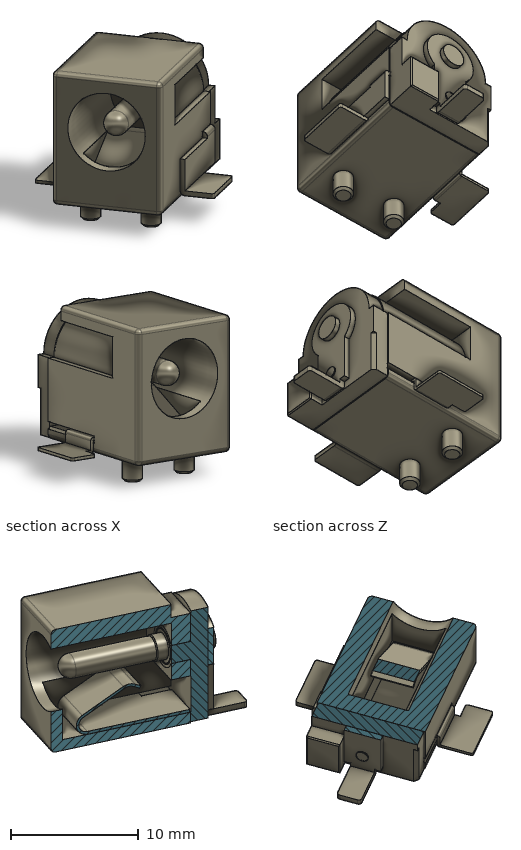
import cadquery as cq
import math


HOUSING_WIDTH = 9.03
HOUSING_TOP = 4.5
HOUSING_BOTTOM = -6.5
HOUSING_LENGTH = 11.97
HOUSING_ROUND = 0.4
ROOF_LENGTH = 10.3
BORE_DIAMETER = 6.4
ARCH_RADIUS = 3.97
ARCH_TOP = 3.33
SIDE_RECESS_START = 3.4
PEG_DIAMETER = 1.6
PEG_LENGTH = 2.0
PEG_CHAMFER = 0.2
PEG_SPACING = 5.0
PEG_Y = 3.5

CHAMBER_START = 1.0
CHAMBER_WIDTH = 4.48
CHAMBER_TOP = -2.29
CHAMBER_FLOOR = -5.49
SLOT_START = 5.85
SLOT_HEIGHT = 0.4
SLOT_BEVEL = 0.2

CAP_INSET = 0.1
CAP_LENGTH = 1.49
CAP_RADIUS = 3.88
CAP_BOSS_DIAMETER = 3.5
CAP_CORNER_CHAMFER = 0.32
CAP_CORNER_TOP = -2.65
BLOCK_INNER_X = 1.65
BLOCK_TOP = -3.1
BLOCK_DEPTH = 1.23
BLOCK_CHAMFER = 0.1

PIN_TIP_Y = 1.4
PIN_DIAMETER = 2.0
PIN_SHANK_DIAMETER = 2.17
PIN_SHANK_CHAMFER = (PIN_SHANK_DIAMETER - PIN_DIAMETER) / 2
PIN_SHANK_LENGTH = 1.0
COLLAR_DIAMETER = 3.0
COLLAR_CHAMFER = 0.1
RIVET_LENGTH = 0.43

WASHER_RADIUS = 2.27
REAR_SHEET = 0.5
TONGUE_WIDTH = 3.1
TONGUE_BOTTOM = -5.68
TAIL_WIDTH = 2.0
TAIL_END = 17.1
TAIL_BEND_RADIUS = 0.4
TAIL_CORNER_RADIUS = 0.25
DIMPLE_DIAMETER = 1.0
DIMPLE_HEIGHT = 0.1
DIMPLE_Z = -4.43

FOOT_START = 4.62
FOOT_END = 9.3
FOOT_CORNER_RADIUS = 0.2

SPRING_SHEET = 0.25
SPRING_BEND_RADIUS = 0.24
SPRING_FOOT_X = -7.5
SPRING_LUG_START = 5.93
SPRING_NOTCH_X = -5.23
LEAF_BASE_END = 11.9
LEAF_LEFT = -1.93
LEAF_WIDTH = 3.5
LEAF_BEND_Y = 3.1
LEAF_BEND_RADIUS = 0.94
LEAF_SLOPE = 27.0
LEAF_PEAK = -1.8
LEAF_PEAK_RADIUS = 1.1
LEAF_TIP_LENGTH = 0.6

SIDE_SHEET = 0.41
SIDE_FOOT_X = 7.28
SIDE_FOOT_BOTTOM = -6.2
SIDE_BEND_RADIUS = 0.4
SIDE_PLATE_TOP = -3.2
SIDE_ARM_TOP = -2.68
SIDE_ARM_START = 10.05
SIDE_ARM_END = 11.95
SIDE_ARM_INNER_X = 2.5

HALF_WIDTH = HOUSING_WIDTH / 2
CAP_HALF_WIDTH = HALF_WIDTH - CAP_INSET
CAP_BOTTOM = HOUSING_BOTTOM + CAP_INSET
CAP_REAR = HOUSING_LENGTH + CAP_LENGTH
WASHER_REAR = CAP_REAR + REAR_SHEET
BASE_TOP = CHAMBER_FLOOR + SPRING_SHEET


def block(x_range, y_range, z_range):
    """Box given by its lower and upper limits along each axis."""
    (x0, x1), (y0, y1), (z0, z1) = x_range, y_range, z_range
    return cq.Workplane("XY").box(x1 - x0, y1 - y0, z1 - z0, centered=False).translate((x0, y0, z0))


def cylinder_y(diameter, y_start, y_end, z=0):
    """Cylinder along Y, centred on X = 0 at height z."""
    profile = cq.Workplane("XZ", origin=(0, y_start, z)).circle(diameter / 2)
    return profile.extrude(y_start - y_end)


def sheet_along_y(profile, y_start, y_end):
    """Extrude a closed XZ profile from y_start to y_end."""
    return profile.extrude(y_start - y_end).translate((0, y_start, 0))


def arched_body(half_width, radius, bottom, y_start, y_end):
    """Square-sided lower half topped by a narrower half-round arch."""
    lower = block((-half_width, half_width), (y_start, y_end), (bottom, 0))
    return lower.union(cylinder_y(2 * radius, y_start, y_end))


def side_arm_passage():
    """Opening for the arm of the side terminal, open at the rear of the housing."""
    return block(
        (SIDE_ARM_INNER_X, HALF_WIDTH),
        (SIDE_ARM_START, HOUSING_LENGTH),
        (SIDE_ARM_TOP - SIDE_SHEET, SIDE_ARM_TOP),
    )


def spring_slot():
    """Slot through the -X wall whose lower lip is bevelled."""
    profile = (
        cq.Workplane("XZ")
        .moveTo(0, CHAMBER_FLOOR)
        .lineTo(-HALF_WIDTH + SLOT_BEVEL, CHAMBER_FLOOR)
        .lineTo(-HALF_WIDTH, CHAMBER_FLOOR - SLOT_BEVEL)
        .lineTo(-HALF_WIDTH, CHAMBER_FLOOR + SLOT_HEIGHT)
        .lineTo(0, CHAMBER_FLOOR + SLOT_HEIGHT)
        .close()
    )
    return sheet_along_y(profile, SLOT_START, HOUSING_LENGTH)


def peg(x):
    """Locating peg with a chamfered tip, sunk slightly into the housing floor."""
    length = PEG_LENGTH + HOUSING_ROUND
    shaft = cq.Workplane("XY", origin=(x, PEG_Y, HOUSING_BOTTOM - PEG_LENGTH))
    return shaft.circle(PEG_DIAMETER / 2).extrude(length).faces("<Z").chamfer(PEG_CHAMFER)


def make_housing():
    full_x = (-HALF_WIDTH, HALF_WIDTH)
    body = block(full_x, (0, HOUSING_LENGTH), (HOUSING_BOTTOM, HOUSING_TOP))
    body = body.edges("|Y or <Y").fillet(HOUSING_ROUND)

    arch = cylinder_y(2 * ARCH_RADIUS, 0, HOUSING_LENGTH)
    beside_arch = block(full_x, (SIDE_RECESS_START, HOUSING_LENGTH), (0, ARCH_TOP)).cut(arch)
    behind_roof = block(full_x, (ROOF_LENGTH, HOUSING_LENGTH), (ARCH_TOP, HOUSING_TOP))
    body = body.cut(beside_arch).cut(behind_roof)

    body = body.cut(cylinder_y(BORE_DIAMETER, 0, ROOF_LENGTH))
    body = body.cut(cylinder_y(CAP_BOSS_DIAMETER, ROOF_LENGTH, HOUSING_LENGTH))
    chamber = block(
        (-CHAMBER_WIDTH / 2, CHAMBER_WIDTH / 2),
        (CHAMBER_START, HOUSING_LENGTH),
        (CHAMBER_FLOOR, CHAMBER_TOP),
    )
    body = body.cut(chamber).cut(spring_slot()).cut(side_arm_passage())
    for x in (-PEG_SPACING / 2, PEG_SPACING / 2):
        body = body.union(peg(x))
    return body


def make_cap():
    cap = arched_body(CAP_HALF_WIDTH, CAP_RADIUS, CAP_BOTTOM, HOUSING_LENGTH, CAP_REAR)
    corner = (
        cq.Workplane("XY", origin=(0, 0, CAP_BOTTOM))
        .moveTo(-CAP_HALF_WIDTH, CAP_REAR)
        .lineTo(-CAP_HALF_WIDTH, CAP_REAR - CAP_CORNER_CHAMFER)
        .lineTo(-CAP_HALF_WIDTH + CAP_CORNER_CHAMFER, CAP_REAR)
        .close()
        .extrude(CAP_CORNER_TOP - CAP_BOTTOM)
    )
    cap = cap.cut(corner)
    rear_block = block(
        (BLOCK_INNER_X, CAP_HALF_WIDTH), (CAP_REAR, CAP_REAR + BLOCK_DEPTH), (CAP_BOTTOM, BLOCK_TOP)
    )
    cap = cap.union(rear_block.faces(">Y").chamfer(BLOCK_CHAMFER))
    cap = cap.union(cylinder_y(CAP_BOSS_DIAMETER, ROOF_LENGTH, HOUSING_LENGTH))
    return cap.cut(cylinder_y(COLLAR_DIAMETER, ROOF_LENGTH, CAP_REAR))


def make_pin():
    radius = PIN_DIAMETER / 2
    shank_start = ROOF_LENGTH - PIN_SHANK_LENGTH
    pin = cylinder_y(PIN_DIAMETER, PIN_TIP_Y + radius, WASHER_REAR + RIVET_LENGTH)
    pin = pin.union(cq.Workplane("XY", origin=(0, PIN_TIP_Y + radius, 0)).sphere(radius, direct=(0, 1, 0)))
    shank = cylinder_y(PIN_SHANK_DIAMETER, shank_start, CAP_REAR)
    pin = pin.union(shank.faces("<Y").chamfer(PIN_SHANK_CHAMFER))
    collar = cylinder_y(COLLAR_DIAMETER, ROOF_LENGTH, CAP_REAR)
    return pin.union(collar.faces("<Y").chamfer(COLLAR_CHAMFER))


def make_rear_terminal():
    sheet_y = (CAP_REAR, WASHER_REAR)
    washer = cylinder_y(2 * WASHER_RADIUS, *sheet_y)
    tongue = block((-TONGUE_WIDTH / 2, TONGUE_WIDTH / 2), sheet_y, (TONGUE_BOTTOM, 0))
    tail_x = (-TAIL_WIDTH / 2, TAIL_WIDTH / 2)
    neck = block(tail_x, sheet_y, (HOUSING_BOTTOM, TONGUE_BOTTOM))
    tail = block(tail_x, (CAP_REAR, TAIL_END), (HOUSING_BOTTOM, HOUSING_BOTTOM + REAR_SHEET))
    tail = tail.edges("|Z and >Y").fillet(TAIL_CORNER_RADIUS)
    bend = neck.union(tail).edges("|X and <Y and <Z").fillet(TAIL_BEND_RADIUS)
    dimple = cylinder_y(DIMPLE_DIAMETER, WASHER_REAR, WASHER_REAR + DIMPLE_HEIGHT, DIMPLE_Z)
    terminal = washer.union(tongue).union(bend).union(dimple)
    return terminal.cut(cylinder_y(PIN_DIAMETER, *sheet_y))


def polar(centre, radius, angle):
    """Point at an angle in degrees on a circle in the YZ plane."""
    turn = math.radians(angle)
    return (centre[0] + radius * math.cos(turn), centre[1] + radius * math.sin(turn))


def spring_leaf():
    """Sheet that folds back over its base, climbs to a rounded peak and dips at its tip."""
    rise_normal = 90 + LEAF_SLOPE
    fall_normal = 90 - LEAF_SLOPE
    bend_middle = (270 + rise_normal) / 2
    bend_outer = LEAF_BEND_RADIUS
    bend_inner = bend_outer - SPRING_SHEET
    peak_outer = LEAF_PEAK_RADIUS
    peak_inner = peak_outer - SPRING_SHEET
    bend = (LEAF_BEND_Y, CHAMBER_FLOOR + bend_outer)

    peak_z = LEAF_PEAK - peak_outer
    normal_y, normal_z = polar((0, 0), 1, rise_normal)
    peak_y = bend[0] + (bend_outer - peak_outer - (peak_z - bend[1]) * normal_z) / normal_y
    peak = (peak_y, peak_z)

    tip_outer = polar(polar(peak, peak_outer, fall_normal), LEAF_TIP_LENGTH, -LEAF_SLOPE)
    tip_inner = polar(polar(peak, peak_inner, fall_normal), LEAF_TIP_LENGTH, -LEAF_SLOPE)
    profile = (
        cq.Workplane("YZ", origin=(LEAF_LEFT, 0, 0))
        .moveTo(LEAF_BASE_END, CHAMBER_FLOOR)
        .lineTo(*polar(bend, bend_outer, 270))
        .threePointArc(polar(bend, bend_outer, bend_middle), polar(bend, bend_outer, rise_normal))
        .lineTo(*polar(peak, peak_outer, rise_normal))
        .threePointArc(polar(peak, peak_outer, 90), polar(peak, peak_outer, fall_normal))
        .lineTo(*tip_outer)
        .lineTo(*tip_inner)
        .lineTo(*polar(peak, peak_inner, fall_normal))
        .threePointArc(polar(peak, peak_inner, 90), polar(peak, peak_inner, rise_normal))
        .lineTo(*polar(bend, bend_inner, rise_normal))
        .threePointArc(polar(bend, bend_inner, bend_middle), polar(bend, bend_inner, 270))
        .lineTo(LEAF_BASE_END, BASE_TOP)
        .close()
    )
    return profile.extrude(LEAF_WIDTH)


def spring_foot():
    """Solder foot, notched next to the lug so that it reaches past the lug."""
    foot_z = (HOUSING_BOTTOM, HOUSING_BOTTOM + SPRING_SHEET)
    pad = block((SPRING_FOOT_X, SPRING_NOTCH_X), (FOOT_START, FOOT_END), foot_z)
    pad = pad.edges("|Z and (<X or <Y)").fillet(FOOT_CORNER_RADIUS)
    bridge = block((SPRING_NOTCH_X, -HALF_WIDTH), (SPRING_LUG_START, FOOT_END), foot_z)
    return pad.union(bridge.edges("|Y and >X and <Z").fillet(SPRING_BEND_RADIUS))


def make_spring_terminal():
    lug_y = (SPRING_LUG_START, FOOT_END)
    base = block((-HALF_WIDTH, LEAF_LEFT), lug_y, (CHAMBER_FLOOR, BASE_TOP))
    lug_x = (-HALF_WIDTH - SPRING_SHEET, -HALF_WIDTH)
    lug = block(lug_x, lug_y, (HOUSING_BOTTOM + SPRING_SHEET, BASE_TOP))
    lug = lug.edges("|Y and <X and >Z").fillet(SPRING_BEND_RADIUS)
    return spring_leaf().union(base).union(lug).union(spring_foot())


def make_side_terminal():
    outer_x = HALF_WIDTH + SIDE_SHEET
    foot_top = SIDE_FOOT_BOTTOM + SIDE_SHEET
    foot = block((HALF_WIDTH, SIDE_FOOT_X), (FOOT_START, FOOT_END), (SIDE_FOOT_BOTTOM, foot_top))
    foot = foot.edges("|Z and >X").fillet(FOOT_CORNER_RADIUS)
    foot = foot.edges("|Y and <X and <Z").fillet(SIDE_BEND_RADIUS)
    plate = block((HALF_WIDTH, outer_x), (FOOT_START, SIDE_ARM_END), (foot_top, SIDE_PLATE_TOP))
    arm_y = (SIDE_ARM_START, SIDE_ARM_END)
    riser = block((HALF_WIDTH, outer_x), arm_y, (SIDE_PLATE_TOP, SIDE_ARM_TOP))
    riser = riser.edges("|Y and >X and >Z").fillet(SIDE_BEND_RADIUS)
    arm = block((SIDE_ARM_INNER_X, HALF_WIDTH), arm_y, (SIDE_ARM_TOP - SIDE_SHEET, SIDE_ARM_TOP))
    return foot.union(plate).union(riser).union(arm)


housing = make_housing()
cap = make_cap()
pin = make_pin()
rear_terminal = make_rear_terminal()
spring_terminal = make_spring_terminal()
side_terminal = make_side_terminal()

bodies = [housing, cap, pin, rear_terminal, spring_terminal, side_terminal]
result = cq.Compound.makeCompound([body.solids().val() for body in bodies])